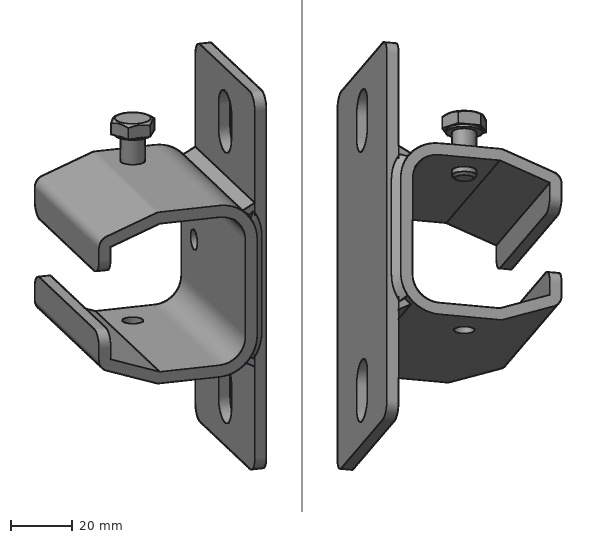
import cadquery as cq
import math

thickness = 4.0

plate_width = 60.0
plate_height = 130.0
plate_corner_radius = 5.0
slot_width = 13.0
slot_height = 21.0
slot_offset = 46.5

channel_length = 65.0
channel_height = 59.0
overall_depth = 58.5
channel_depth = overall_depth - thickness
back_outer_radius = 13.0
back_inner_radius = back_outer_radius - thickness
flat_end_depth = 33.5
wall_slope = math.radians(20)
lip_gap = 20.0
lip_corner_radius = 5.0
half_height = channel_height / 2
inner_half_height = half_height - thickness
arc_center_z = half_height - back_outer_radius

bolt_x = -19.5
bolt_y = -25.1
shank_diameter = 8.0
tapped_diameter = 6.8
tip_z = 22.9
tip_chamfer = 0.9
head_bottom_z = 39.4
head_top_z = 44.2
head_width = 13.0
head_top_diameter = 11.7
head_chamfer_angle = math.radians(30)
collar_diameter = 12.0
collar_height = 0.8

side_weld_leg = (channel_length - plate_width) / 2
side_weld_end_angle = 35.0
long_weld_depth = 4.2
long_weld_top_z = 28.2
long_weld_root_z = 22.6


def make_plate():
    """Rounded plate with one vertical mounting slot near each end."""
    plate = cq.Workplane("XY").box(plate_width, thickness, plate_height)
    plate = plate.translate((0, thickness / 2, 0)).edges("|Y").fillet(plate_corner_radius)
    slots = (
        cq.Workplane("XZ")
        .pushPoints([(0, slot_offset), (0, -slot_offset)])
        .slot2D(slot_height, slot_width, 90)
        .extrude(thickness, both=True)
    )
    return plate.cut(slots)


def make_channel_half():
    """Upper half of the bent channel: sharp inner bends, rounded outer bends."""
    lip_inner_y = thickness - channel_depth
    slope_run = -flat_end_depth - lip_inner_y
    lip_bend_z = inner_half_height - slope_run * math.tan(wall_slope)
    corner_mid_cos = math.cos(math.pi / 4)

    def around(center_y, center_z, radius, angle):
        """Point on an arc, with the angle measured from +Z towards -Y."""
        return center_y - radius * math.sin(angle), center_z + radius * math.cos(angle)

    lip_mid_angle = (wall_slope + math.pi / 2) / 2
    outer_mid = (
        -back_outer_radius + back_outer_radius * corner_mid_cos,
        arc_center_z + back_outer_radius * corner_mid_cos,
    )
    inner_mid = (
        -back_outer_radius + back_inner_radius * corner_mid_cos,
        arc_center_z + back_inner_radius * corner_mid_cos,
    )
    half = (
        cq.Workplane("YZ")
        .moveTo(0, 0)
        .lineTo(0, arc_center_z)
        .threePointArc(outer_mid, (-back_outer_radius, half_height))
        .lineTo(-flat_end_depth, half_height)
        .threePointArc(
            around(-flat_end_depth, inner_half_height, thickness, wall_slope / 2),
            around(-flat_end_depth, inner_half_height, thickness, wall_slope),
        )
        .lineTo(*around(lip_inner_y, lip_bend_z, thickness, wall_slope))
        .threePointArc(
            around(lip_inner_y, lip_bend_z, thickness, lip_mid_angle),
            (-channel_depth, lip_bend_z),
        )
        .lineTo(-channel_depth, lip_gap / 2)
        .lineTo(lip_inner_y, lip_gap / 2)
        .lineTo(lip_inner_y, lip_bend_z)
        .lineTo(-flat_end_depth, inner_half_height)
        .lineTo(-back_outer_radius, inner_half_height)
        .threePointArc(inner_mid, (-thickness, arc_center_z))
        .lineTo(-thickness, 0)
        .close()
        .extrude(channel_length / 2, both=True)
    )
    lip_corners = cq.selectors.BoxSelector(
        (-channel_length, -overall_depth, lip_gap / 2 - thickness / 2),
        (channel_length, lip_inner_y + thickness / 2, lip_gap / 2 + thickness / 2),
    )
    return half.edges("|Y").edges(lip_corners).fillet(lip_corner_radius)


def make_channel():
    """C-shaped channel with a bolt hole above and tapped holes below and behind."""
    half = make_channel_half()
    channel = half.union(half.mirror("XY"))
    bolt_hole = cq.Workplane("XY").center(bolt_x, bolt_y).circle(shank_diameter / 2).extrude(half_height)
    lower_hole = cq.Workplane("XY").center(bolt_x, bolt_y).circle(tapped_diameter / 2).extrude(-half_height)
    back_hole = cq.Workplane("XZ").center(bolt_x, 0).circle(tapped_diameter / 2).extrude(thickness)
    return channel.cut(bolt_hole).cut(lower_hole).cut(back_hole)


def make_bolt():
    """Hexagon bolt with a chamfered head, a collar under it and a chamfered tip."""
    head_height = head_top_z - head_bottom_z
    corner_radius = head_width / 2 / math.cos(math.pi / 6)
    chamfer_drop = (corner_radius - head_top_diameter / 2) * math.tan(head_chamfer_angle)
    hexagon = (
        cq.Workplane("XY", origin=(0, 0, head_bottom_z))
        .polygon(6, 2 * corner_radius)
        .extrude(head_height)
        .rotate((0, 0, 0), (0, 0, 1), 90)
    )
    chamfer_envelope = (
        cq.Workplane("XZ")
        .moveTo(0, head_bottom_z)
        .lineTo(corner_radius, head_bottom_z)
        .lineTo(corner_radius, head_top_z - chamfer_drop)
        .lineTo(head_top_diameter / 2, head_top_z)
        .lineTo(0, head_top_z)
        .close()
        .revolve(360, (0, 0), (0, 1))
    )
    collar = (
        cq.Workplane("XY", origin=(0, 0, head_bottom_z))
        .circle(collar_diameter / 2)
        .extrude(-collar_height)
    )
    shank = (
        cq.Workplane("XY", origin=(0, 0, tip_z))
        .circle(shank_diameter / 2)
        .extrude(head_bottom_z - tip_z)
        .faces("<Z")
        .chamfer(tip_chamfer)
    )
    bolt = hexagon.intersect(chamfer_envelope).union(collar).union(shank)
    return bolt.translate((bolt_x, bolt_y, 0))


def make_side_weld(side):
    """Triangular bead beside the plate, following the channel's back and both its corners."""
    plate_edge = side * plate_width / 2
    section = [(plate_edge, 0), (side * channel_length / 2, 0), (plate_edge, side_weld_leg)]
    weld = (
        cq.Workplane("XY", origin=(0, 0, -arc_center_z))
        .polyline(section)
        .close()
        .extrude(2 * arc_center_z)
    )
    upper_end = (
        cq.Workplane("XY", origin=(0, 0, arc_center_z))
        .polyline(section)
        .close()
        .revolve(side_weld_end_angle, (0, -back_outer_radius), (1, -back_outer_radius))
    )
    return weld.union(upper_end).union(upper_end.mirror("XY"))


def make_long_weld(side):
    """Bead along the plate width whose tip touches the channel's back corner."""
    contact_angle = math.acos(1 - long_weld_depth / back_outer_radius)
    contact_z = arc_center_z + back_outer_radius * math.sin(contact_angle)
    section = [
        (0, side * long_weld_top_z),
        (-long_weld_depth, side * contact_z),
        (0, side * long_weld_root_z),
    ]
    return (
        cq.Workplane("YZ")
        .polyline(section)
        .close()
        .extrude(plate_width / 2, both=True)
    )


plate = make_plate()
channel = make_channel()
bolt = make_bolt()
side_welds = []
long_welds = []
for side in (-1, 1):
    side_welds.append(make_side_weld(side).val())
    long_welds.append(make_long_weld(side).val())

result = cq.Compound.makeCompound([plate.val(), channel.val(), bolt.val(), *side_welds, *long_welds])